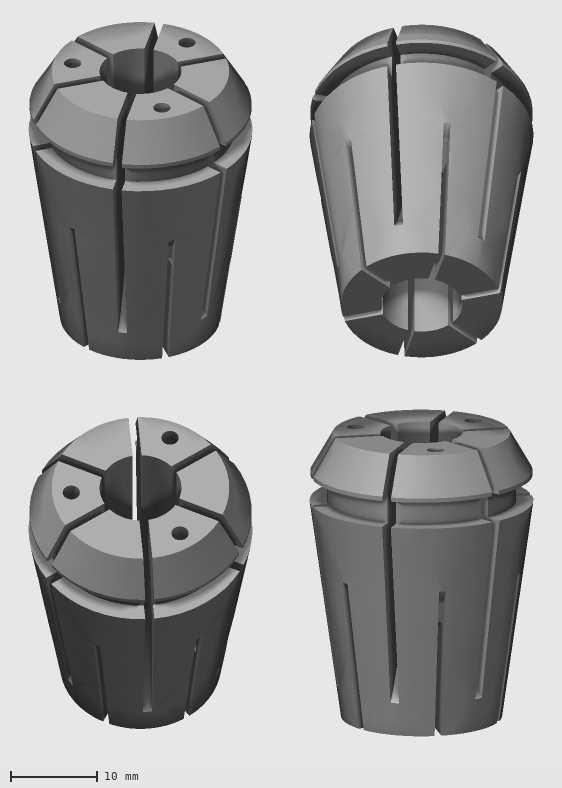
import cadquery as cq
import math

total_height = 34.0
body_radius = 13.0
body_height = 25.9
taper_angle = 8.0
bore_radius = 4.75

groove_radius = 11.0
head_base_z = 29.0
rim_height = 0.5
head_radius = 12.9
head_bevel_angle = 30.0

slots_per_end = 6
slot_pitch = 360.0 / slots_per_end

top_slot_width = 1.05
top_saw_radius = 25.0
top_slot_bore_z = 16.75
top_slot_outer_z = 4.0
top_slot_start_angle = 0.0

bottom_slot_width = 0.8
bottom_saw_radius = 20.0
bottom_slot_flat_z = 13.0
bottom_slot_flat_radius = 8.7
bottom_slot_outer_z = 18.0
bottom_slot_start_angle = slot_pitch / 2

hole_count = 3
hole_radius = 1.0
hole_centre_radius = 8.05
hole_tilt = 5.0
hole_end_z = 13.65
hole_start_angle = 90.0

overcut = 1.0


def taper_radius(z):
    """Radius of the outer taper at height z."""
    return body_radius - (body_height - z) * math.tan(math.radians(taper_angle))


def make_blank():
    """Turned blank: taper, groove, bevelled head and through bore."""
    rim_top_z = head_base_z + rim_height
    bevel_inset = (total_height - rim_top_z) * math.tan(math.radians(head_bevel_angle))
    return (
        cq.Workplane("XZ")
        .moveTo(bore_radius, 0)
        .lineTo(taper_radius(0), 0)
        .lineTo(body_radius, body_height)
        .lineTo(groove_radius, body_height)
        .lineTo(groove_radius, head_base_z)
        .lineTo(head_radius, head_base_z)
        .lineTo(head_radius, rim_top_z)
        .lineTo(head_radius - bevel_inset, total_height)
        .lineTo(bore_radius, total_height)
        .close()
        .revolve(360, (0, 0, 0), (0, 1, 0))
    )


def saw_centre(inner_r, inner_z, outer_z, saw_radius):
    """Centre (radius, z) of the saw whose edge crosses the inner point and the taper at outer_z.

    Of the two possible centres, the one further from the collet axis is returned.
    """
    run = taper_radius(outer_z) - inner_r
    rise = outer_z - inner_z
    chord = math.hypot(run, rise)
    offset = math.sqrt(saw_radius**2 - (chord / 2) ** 2)
    side = math.copysign(1.0, rise)
    centre_r = inner_r + run / 2 + side * offset * rise / chord
    centre_z = inner_z + rise / 2 - side * offset * run / chord
    return centre_r, centre_z


def make_saw(centre_r, centre_z, saw_radius, width):
    """Saw disc lying in the XZ plane and centred on it across its width."""
    return (
        cq.Workplane("XZ")
        .center(centre_r, centre_z)
        .circle(saw_radius)
        .extrude(width / 2, both=True)
    )


def make_channel(start_r, end_r, start_z, end_z, width):
    """Straight channel along +X, centred on the XZ plane across its width."""
    return (
        cq.Workplane("XY")
        .box(end_r - start_r, width, end_z - start_z, centered=(False, True, False))
        .translate((start_r, 0, start_z))
    )


def make_top_slot():
    """Slot open at the top: the saw disc plus its path up and out of the head."""
    centre_r, centre_z = saw_centre(bore_radius, top_slot_bore_z, top_slot_outer_z, top_saw_radius)
    disc = make_saw(centre_r, centre_z, top_saw_radius, top_slot_width)
    path = make_channel(
        centre_r - top_saw_radius, centre_r, centre_z, total_height + overcut, top_slot_width
    )
    return disc.union(path)


def make_bottom_slot():
    """Slot open at the bottom: a flat-roofed channel from the bore, then a curved run-out."""
    centre_r, centre_z = saw_centre(
        bottom_slot_flat_radius, bottom_slot_flat_z, bottom_slot_outer_z, bottom_saw_radius
    )
    disc = make_saw(centre_r, centre_z, bottom_saw_radius, bottom_slot_width)
    channel = make_channel(0, body_radius, -overcut, bottom_slot_flat_z, bottom_slot_width)
    return disc.union(channel)


def make_coolant_hole():
    """Tilted hole from the top face, with its axis in the XZ plane."""
    hole_length = (total_height - hole_end_z) / math.cos(math.radians(hole_tilt))
    return (
        cq.Workplane("XY")
        .circle(hole_radius)
        .extrude(hole_length + overcut)
        .translate((0, 0, -hole_length))
        .rotate((0, 0, 0), (0, 1, 0), -hole_tilt)
        .translate((hole_centre_radius, 0, total_height))
    )


def cut_around_axis(part, cutter, count, start_angle):
    """Cut equally spaced copies of the cutter around the Z axis."""
    for index in range(count):
        angle = start_angle + index * 360.0 / count
        part = part.cut(cutter.rotate((0, 0, 0), (0, 0, 1), angle))
    return part


result = make_blank()
result = cut_around_axis(result, make_top_slot(), slots_per_end, top_slot_start_angle)
result = cut_around_axis(result, make_bottom_slot(), slots_per_end, bottom_slot_start_angle)
result = cut_around_axis(result, make_coolant_hole(), hole_count, hole_start_angle)